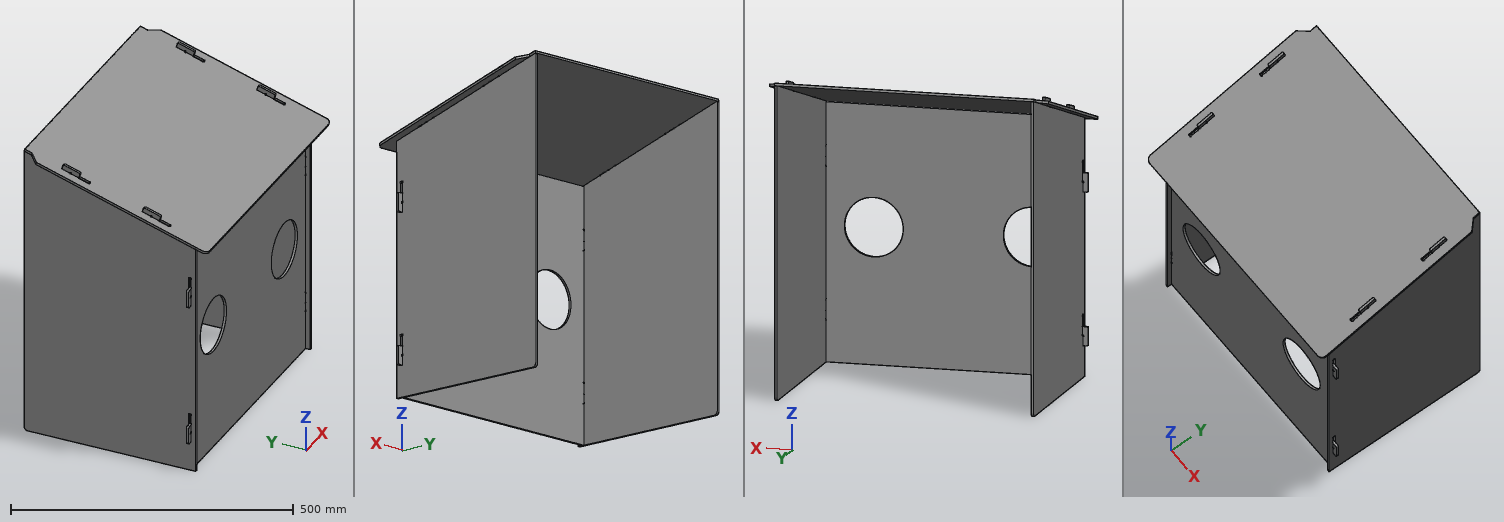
import cadquery as cq
import math


sheet = 4.7244
body_width = 476.25
body_depth = 336.55
side_back_height = 572.79
side_corner_radius = 7.5
lid_angle = math.radians(17)

lid_width = 512.7
lid_length = 383.08
lid_front_radius = 11.5
lid_notch_depth = 15.0

panel_setback = 9.0
peephole_diameter = 107.95
peephole_spacing = 292.1
peephole_height = 250.0

hook_length = 35.0
hook_overhang = 18.0
hook_projection = 9.65
hook_corner_radius = 2.5
slot_length = 38.6
slot_clearance = 0.25
relief_diameter = 3.175

first_side_slot = 76.3
side_slot_pitch = 279.4
first_lid_slot = 93.7
lid_slot_pitch = 165.1

side_slot_heights = [first_side_slot, first_side_slot + side_slot_pitch]
lid_slot_distances = [first_lid_slot, first_lid_slot + lid_slot_pitch]
slope_sin = math.sin(lid_angle)
slope_cos = math.cos(lid_angle)
half_width = body_width / 2
inner_half_width = half_width - sheet
side_middle_x = half_width - sheet / 2
panel_front_y = panel_setback - body_depth
panel_middle_y = panel_front_y + sheet / 2


def height_under_lid(y):
    """Height of the lid's underside at a given Y."""
    return side_back_height + y * math.tan(lid_angle)


def lid_joint(side, distance):
    """Frame at a lid slot's upper end: local x runs down the slope, local y out through the lid."""
    origin = (
        side * side_middle_x,
        -distance * slope_cos,
        side_back_height - distance * slope_sin,
    )
    return cq.Plane(origin=origin, xDir=(0, -slope_cos, -slope_sin), normal=(-1, 0, 0))


def side_joint(side, height):
    """Frame at a side slot's lower end: local x runs up, local y out through the side."""
    origin = (side * inner_half_width, panel_middle_y, height)
    return cq.Plane(origin=origin, xDir=(0, 0, 1), normal=(0, side, 0))


def hook(joint):
    """L-shaped tab: a neck through the slot, and a tip that overhangs the slot's end on the outer face.

    A round relief clears the inner corner between neck and tip.
    """
    neck_length = hook_length - hook_overhang
    outer_face = sheet + hook_projection
    tab = (
        cq.Workplane(joint)
        .moveTo(0, -sheet)
        .lineTo(neck_length, -sheet)
        .lineTo(neck_length, outer_face - hook_corner_radius)
        .radiusArc((neck_length - hook_corner_radius, outer_face), -hook_corner_radius)
        .lineTo(hook_corner_radius - hook_overhang, outer_face)
        .radiusArc((-hook_overhang, outer_face - hook_corner_radius), -hook_corner_radius)
        .lineTo(-hook_overhang, sheet)
        .lineTo(0, sheet)
        .close()
        .extrude(sheet / 2, both=True)
    )
    relief = cq.Workplane(joint).center(0, sheet).circle(relief_diameter / 2).extrude(sheet, both=True)
    return tab.cut(relief)


def slot(joint):
    """Slot cutter, wider than the hook by the clearance on each face, with a round relief at each corner."""
    slot_width = sheet + 2 * slot_clearance
    relief_inset = relief_diameter / 2 / math.sqrt(2)
    face = cq.Workplane(joint).transformed(rotate=(90, 0, 0), offset=(slot_length / 2, sheet / 2, 0))
    opening = face.rect(slot_length, slot_width).extrude(sheet, both=True)
    reliefs = (
        face.rect(slot_length - 2 * relief_inset, slot_width - 2 * relief_inset, forConstruction=True)
        .vertices()
        .circle(relief_diameter / 2)
        .extrude(sheet, both=True)
    )
    return opening.union(reliefs)


def make_side(side):
    """Side panel with a sloping top edge, lid hooks on top and slots for the front panel."""
    outer_x = side * half_width
    plate = (
        cq.Workplane("YZ", origin=(outer_x, 0, 0))
        .moveTo(-body_depth, 0)
        .lineTo(-side_corner_radius, 0)
        .radiusArc((0, side_corner_radius), -side_corner_radius)
        .lineTo(0, side_back_height)
        .lineTo(-body_depth, height_under_lid(-body_depth))
        .close()
        .extrude(-side * sheet)
    )
    for distance in lid_slot_distances:
        plate = plate.union(hook(lid_joint(side, distance)))
    for height in side_slot_heights:
        plate = plate.cut(slot(side_joint(side, height)))
    return plate


def make_front_panel():
    """Front panel between the sides, with two round openings and hooks at both edges."""
    panel_height = height_under_lid(panel_front_y)
    panel = cq.Workplane("XY").box(2 * inner_half_width, sheet, panel_height, centered=(True, True, False))
    panel = panel.translate((0, panel_middle_y, 0))
    openings = (
        cq.Workplane("XZ", origin=(0, panel_middle_y, peephole_height))
        .rarray(peephole_spacing, 1, 2, 1)
        .circle(peephole_diameter / 2)
        .extrude(sheet, both=True)
    )
    panel = panel.cut(openings)
    for side in (-1, 1):
        for height in side_slot_heights:
            panel = panel.union(hook(side_joint(side, height)))
    return panel


def make_lid():
    """Sloping lid, as wide as the body at its back edge and widening at 45 degrees, with hook slots."""
    half_lid = lid_width / 2
    shoulder = lid_notch_depth + half_lid - half_width
    lid_plane = cq.Plane(
        origin=(0, 0, side_back_height), xDir=(1, 0, 0), normal=(0, -slope_sin, slope_cos)
    )
    lid = (
        cq.Workplane(lid_plane)
        .moveTo(-half_width, 0)
        .lineTo(half_width, 0)
        .lineTo(half_width, -lid_notch_depth)
        .lineTo(half_lid, -shoulder)
        .lineTo(half_lid, lid_front_radius - lid_length)
        .radiusArc((half_lid - lid_front_radius, -lid_length), lid_front_radius)
        .lineTo(lid_front_radius - half_lid, -lid_length)
        .radiusArc((-half_lid, lid_front_radius - lid_length), lid_front_radius)
        .lineTo(-half_lid, -shoulder)
        .lineTo(-half_width, -lid_notch_depth)
        .close()
        .extrude(sheet)
    )
    for side in (-1, 1):
        for distance in lid_slot_distances:
            lid = lid.cut(slot(lid_joint(side, distance)))
    return lid


sides = [make_side(side) for side in (-1, 1)]
front_panel = make_front_panel()
lid = make_lid()

result = cq.Compound.makeCompound([*[panel.val() for panel in sides], front_panel.val(), lid.val()])